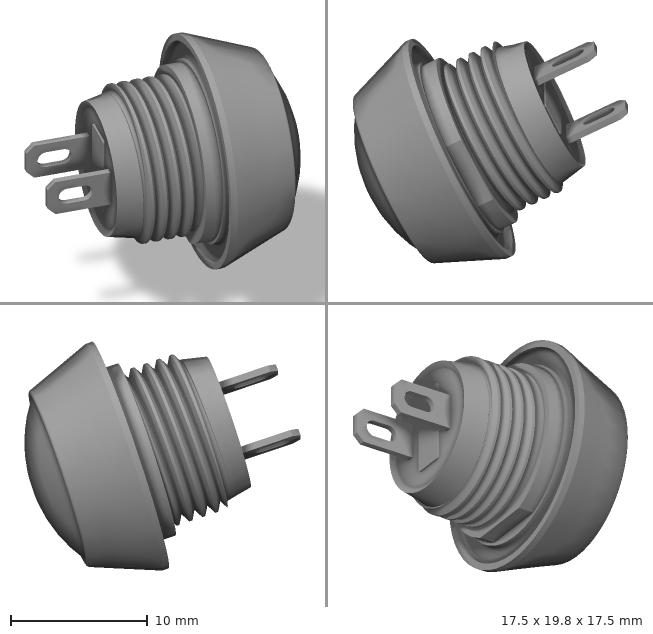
import cadquery as cq
import math


bezel_radius = 8.765
bezel_rim_height = 0.5
bezel_height = 5.61
bezel_front_radius = 6.77
bezel_front_fillet = 0.25

groove_inner_radius = 6.9
groove_outer_radius = 8.25
groove_depth = 0.6
groove_fillet = 0.25

button_radius = 6.15
button_height = 1.99

neck_radius = 6.65
neck_length = 1.25
neck_flat_distance = 6.12

thread_radius = 6.0
thread_root_radius = 5.34
thread_pitch = 1.0
thread_end_y = -5.5
thread_crest_width = 0.22
thread_root_width = 0.04
thread_phase_y = -7.14
thread_turns = 7
thread_start_angle = 123
ridge_embedment = 0.08

runout_root_radius = 5.36
runout_outer_radius = 5.6
runout_half_width = 0.14
runout_turns = 1

tail_end_y = -7.6
tail_start_radius = 5.5
tail_end_radius = 5.05
dish_floor_radius = 4.55
dish_depth = 0.25

label_width = 2.6
label_height = 6.4
label_thickness = 0.15
label_corner_radius = 0.2

terminal_spacing = 5.08
terminal_thickness = 0.5
terminal_width = 2.8
terminal_tip_y = -12.21
terminal_tip_chamfer = 0.6
eyelet_length = 2.6
eyelet_width = 1.3
eyelet_y = -10.05

dish_floor_y = tail_end_y + dish_depth


def revolve_about_y(profile):
    """Revolve a closed XY profile a full turn about the Y axis."""
    return profile.revolve(360, (0, 0, 0), (0, 1, 0))


def make_bezel():
    """Conical bezel with a rounded front edge and a seal groove in its rear face."""
    outline = (
        cq.Workplane("XY")
        .lineTo(bezel_radius, 0)
        .lineTo(bezel_radius, bezel_rim_height)
        .lineTo(bezel_front_radius, bezel_height)
        .lineTo(0, bezel_height)
        .close()
    )
    bezel = revolve_about_y(outline).faces(">Y").edges().fillet(bezel_front_fillet)
    groove = (
        cq.Workplane("XZ")
        .circle(groove_outer_radius)
        .circle(groove_inner_radius)
        .extrude(-groove_depth)
        .faces(">Y")
        .edges()
        .fillet(groove_fillet)
    )
    return bezel.cut(groove)


def make_neck():
    """Round neck behind the bezel, cut flat on its -Z side."""
    neck = cq.Workplane("XZ").circle(neck_radius).extrude(neck_length)
    keep_height = neck_radius + neck_flat_distance
    flat_limit = cq.Workplane("XY").box(
        2 * neck_radius, 2 * neck_length, keep_height, centered=(True, True, False)
    ).translate((0, 0, -neck_flat_distance))
    return neck.intersect(flat_limit)


def make_helical_bar(corners, start_y, turns):
    """Bar wound right-handed about Y; corners are (radius, axial offset) points in order.

    start_y is where the zero of the axial offsets would lie at the +X side of the start.
    """
    length = turns * thread_pitch
    helices = [
        cq.Wire.makeHelix(thread_pitch, length, radius).translate(cq.Vector(0, 0, offset))
        for radius, offset in corners
    ]
    sides = [cq.Face.makeRuledSurface(helices[i - 1], helices[i]) for i in range(len(helices))]
    end_outline = cq.Wire.makePolygon([cq.Vector(r, 0, z) for r, z in corners], close=True)
    start_face = cq.Face.makeFromWires(end_outline)
    end_face = start_face.translate(cq.Vector(0, 0, length))
    bar = cq.Solid.makeSolid(cq.Shell.makeShell([*sides, start_face, end_face]))

    start_rise = thread_pitch * thread_start_angle / 360
    return (
        cq.Workplane(bar)
        .rotate((0, 0, 0), (1, 0, 0), -90)
        .rotate((0, 0, 0), (0, 1, 0), thread_start_angle)
        .translate((0, start_y + start_rise, 0))
    )


def make_thread_ridge():
    """Helical V ridge trimmed to the threaded length."""
    flank_slope = (thread_pitch - thread_crest_width - thread_root_width) / 2
    flank_slope /= thread_radius - thread_root_radius
    crest_half = thread_crest_width / 2
    base_radius = thread_root_radius - ridge_embedment
    base_half = crest_half + flank_slope * (thread_radius - base_radius)
    corners = [
        (base_radius, -base_half),
        (thread_radius, -crest_half),
        (thread_radius, crest_half),
        (base_radius, base_half),
    ]
    threaded_length = (
        cq.Workplane("XZ", origin=(0, -neck_length, 0))
        .rect(2 * neck_radius, 2 * neck_radius)
        .extrude(-thread_end_y - neck_length)
    )
    return make_helical_bar(corners, thread_phase_y, thread_turns).intersect(threaded_length)


def make_runout_groove():
    """Shallow V groove that carries the thread root on into the tail until it fades out."""
    corners = [
        (runout_root_radius, 0),
        (runout_outer_radius, -runout_half_width),
        (runout_outer_radius, runout_half_width),
    ]
    return make_helical_bar(corners, thread_phase_y + thread_pitch / 2, runout_turns)


def make_bushing():
    """Threaded bushing and tapered tail with a dished end."""
    outline = (
        cq.Workplane("XY")
        .moveTo(0, -neck_length)
        .lineTo(thread_root_radius, -neck_length)
        .lineTo(thread_root_radius, thread_end_y)
        .lineTo(tail_start_radius, thread_end_y)
        .lineTo(tail_end_radius, tail_end_y)
        .lineTo(dish_floor_radius, dish_floor_y)
        .lineTo(0, dish_floor_y)
        .close()
    )
    return revolve_about_y(outline).cut(make_runout_groove()).union(make_thread_ridge())


def make_label():
    """Plate raised from the dished end."""
    return (
        cq.Workplane("XZ", origin=(0, dish_floor_y, 0))
        .rect(label_width, label_height)
        .extrude(label_thickness)
        .edges("|Y")
        .fillet(label_corner_radius)
    )


def make_terminal(x):
    """Flat solder lug with a chamfered tip and an elongated eyelet."""
    length = dish_floor_y - terminal_tip_y
    blade = (
        cq.Workplane("XY")
        .box(terminal_thickness, length, terminal_width)
        .translate((x, terminal_tip_y + length / 2, 0))
        .faces("<Y")
        .edges("|X")
        .chamfer(terminal_tip_chamfer)
    )
    eyelet = (
        cq.Workplane("YZ", origin=(x, eyelet_y, 0))
        .slot2D(eyelet_length, eyelet_width)
        .extrude(terminal_thickness, both=True)
    )
    return blade.cut(eyelet)


def make_housing():
    """Bezel, neck, threaded bushing, label plate and terminals as one solid."""
    housing = make_bushing().union(make_neck()).union(make_bezel()).union(make_label())
    for side in (-1, 1):
        housing = housing.union(make_terminal(side * terminal_spacing / 2))
    return housing


def make_button():
    """Spherical dome standing on the front face of the bezel."""
    sphere_radius = (button_radius**2 + button_height**2) / (2 * button_height)
    apex_y = bezel_height + button_height
    half_angle = math.asin(button_radius / sphere_radius) / 2
    arc_middle_x = sphere_radius * math.sin(half_angle)
    arc_middle_y = apex_y - sphere_radius * (1 - math.cos(half_angle))
    outline = (
        cq.Workplane("XY")
        .moveTo(0, bezel_height)
        .lineTo(button_radius, bezel_height)
        .threePointArc((arc_middle_x, arc_middle_y), (0, apex_y))
        .close()
    )
    return revolve_about_y(outline)


housing = make_housing()
button = make_button()

result = cq.Compound.makeCompound([housing.val(), button.val()])